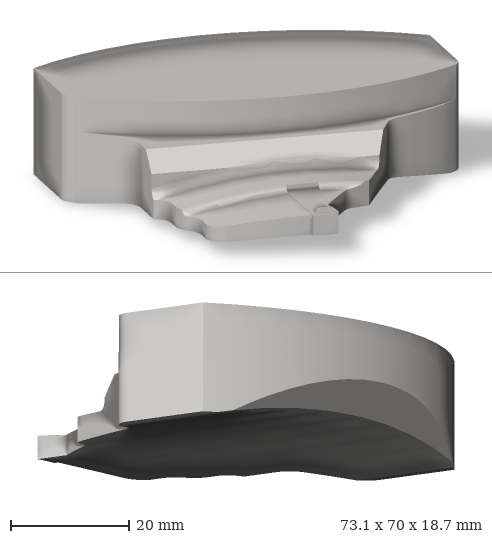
import cadquery as cq
import math


LENGTH = 73.1
HALF_WIDTH = 35.0
HEIGHT = 18.7
END_FACE_START = 11.2
END_FACE_END = 27.35
FRONT_BULGE_X = 40.35
BACK_CHAMFER_Z = 8.8
BULGE_RADIUS = (END_FACE_START**2 + HALF_WIDTH**2) / (2 * END_FACE_START)

ARCH_RISE = 3.6
ARCH_HALF_SPAN = 32.9
ARCH_RADIUS = (ARCH_HALF_SPAN**2 + ARCH_RISE**2) / (2 * ARCH_RISE)

SHELF_Z = 12.6
SLOPE_START = 43.9
WALL_X = 47.4
STEP_X = 57.1
LOWER_STEP_Z = 7.1
STEP_DROP = 1.1
LOWER_STEP_RADIUS = 95.0
UPPER_STEP_RADIUS = LOWER_STEP_RADIUS + STEP_DROP
STEP_AXIS_Z = LOWER_STEP_Z - LOWER_STEP_RADIUS
WALL_FILLET = 1.6
STEP_FILLET = 1.45

INSERT_LEFT_Y = 1.4
INSERT_RIGHT_Y = -4.3
TIP_LEFT_Y = 0.1
TIP_SHOULDER_X = 66.95
NARROWING_X = 65.1
TIP_SKEW = 0.2
RIDGE_START_X = 69.0
RIDGE_RIGHT_START_Y = -2.5
RIDGE_RIGHT_END_Y = -3.9
RIDGE_END_SETBACK = 0.6
RIDGE_START_Z = 7.3
RIDGE_END_Z = 7.6

MARGIN = 7.3


def holder_plan():
    """Closed outline of head and blade, seen from above."""
    return (
        cq.Workplane("XY")
        .moveTo(END_FACE_START, -HALF_WIDTH)
        .threePointArc((0, 0), (END_FACE_START, HALF_WIDTH))
        .lineTo(END_FACE_END, HALF_WIDTH)
        .threePointArc((28.95, 34.65), (30.2, 33.6))
        .threePointArc((33.8, 28.9), (36.3, 24.2))
        .lineTo(37.7, 21.3)
        .threePointArc((38.45, 20.0), (39.55, 19.1))
        .lineTo(56.7, 10.45)
        .lineTo(58.0, 7.25)
        .threePointArc((58.4, 6.3), (59.0, 5.6))
        .lineTo(NARROWING_X, INSERT_LEFT_Y)
        .lineTo(TIP_SHOULDER_X, TIP_LEFT_Y)
        .lineTo(72.4, TIP_LEFT_Y)
        .threePointArc((71.3, -9.5), (68.7, -18.3))
        .threePointArc((66.9, -20.25), (64.1, -20.8))
        .lineTo(62.0, -20.8)
        .threePointArc((60.1, -21.3), (58.3, -22.2))
        .threePointArc((56.9, -22.9), (55.1, -23.25))
        .lineTo(53.0, -23.25)
        .threePointArc((50.2, -23.8), (48.5, -25.15))
        .lineTo(41.15, -25.15)
        .threePointArc((38.7, -25.65), (36.7, -27.0))
        .lineTo(30.05, -33.3)
        .threePointArc((28.9, -34.4), (END_FACE_END, -HALF_WIDTH))
        .close()
    )


def underside_arch():
    """Cylinder along X that hollows the bottom."""
    return (
        cq.Workplane("YZ", origin=(-MARGIN, 0, 0))
        .center(0, ARCH_RISE - ARCH_RADIUS)
        .circle(ARCH_RADIUS)
        .extrude(LENGTH + 2 * MARGIN)
    )


def back_chamfer():
    """45 degree wedge below the rearmost edge of the head."""
    return (
        cq.Workplane("XZ")
        .polyline([
            (-MARGIN, BACK_CHAMFER_Z + MARGIN),
            (-MARGIN, -MARGIN),
            (BACK_CHAMFER_Z + MARGIN, -MARGIN),
        ])
        .close()
        .extrude(HALF_WIDTH + MARGIN, both=True)
    )


def shelf_slope():
    """45 degree ramp from the shelf down towards the blade."""
    ramp_run = LENGTH - SLOPE_START
    return (
        cq.Workplane("XZ")
        .polyline([
            (SLOPE_START, SHELF_Z),
            (LENGTH, SHELF_Z),
            (LENGTH, SHELF_Z - ramp_run),
        ])
        .close()
        .extrude(HALF_WIDTH, both=True)
        .intersect(
            cq.Workplane("XY")
            .box(WALL_X, 2 * HALF_WIDTH, HEIGHT, centered=(False, True, False))
        )
    )


def blade_steps():
    """Ring that leaves the two cylindrical steps of the blade below it."""
    upper_z = STEP_AXIS_Z + UPPER_STEP_RADIUS
    fillet_mid = WALL_FILLET * (1 - math.sqrt(0.5))
    step_fillet_end = STEP_X + STEP_FILLET
    return (
        cq.Workplane("XZ")
        .moveTo(WALL_X, HEIGHT)
        .lineTo(WALL_X, upper_z + WALL_FILLET)
        .threePointArc(
            (WALL_X + fillet_mid, upper_z + fillet_mid),
            (WALL_X + WALL_FILLET, upper_z),
        )
        .lineTo(STEP_X, upper_z)
        .radiusArc((step_fillet_end, LOWER_STEP_Z), -STEP_FILLET)
        .lineTo(LENGTH + MARGIN, LOWER_STEP_Z)
        .lineTo(LENGTH + MARGIN, HEIGHT)
        .close()
        .revolve(360, (0, STEP_AXIS_Z, 0), (1, STEP_AXIS_Z, 0))
    )


def insert_pocket():
    """Slot through the blade, open at the tip."""
    return (
        cq.Workplane("XY")
        .moveTo(STEP_X, INSERT_RIGHT_Y)
        .lineTo(LENGTH + MARGIN, INSERT_RIGHT_Y)
        .lineTo(LENGTH + MARGIN, INSERT_LEFT_Y)
        .lineTo(STEP_X, INSERT_LEFT_Y)
        .close()
        .extrude(HEIGHT)
    )


def make_holder():
    raised_head = holder_plan().extrude(HEIGHT).intersect(
        cq.Workplane("XY")
        .center(FRONT_BULGE_X - BULGE_RADIUS, 0)
        .circle(BULGE_RADIUS)
        .extrude(HEIGHT)
    )
    blade = (
        holder_plan().extrude(SHELF_Z)
        .cut(shelf_slope())
        .cut(blade_steps())
        .cut(insert_pocket())
    )
    return raised_head.union(blade).cut(underside_arch()).cut(back_chamfer())


def chip_breaker():
    """Ridge on the insert, rising towards the cutting edge."""
    plan = (
        cq.Workplane("XY")
        .polyline([
            (RIDGE_START_X, TIP_LEFT_Y),
            (RIDGE_START_X, RIDGE_RIGHT_START_Y),
            (LENGTH - RIDGE_END_SETBACK, RIDGE_RIGHT_END_Y),
            (LENGTH, TIP_LEFT_Y),
        ])
        .close()
        .extrude(HEIGHT)
    )
    ramp = (
        cq.Workplane("XZ")
        .polyline([
            (RIDGE_START_X, ARCH_RISE),
            (LENGTH, ARCH_RISE),
            (LENGTH, RIDGE_END_Z),
            (RIDGE_START_X, RIDGE_START_Z),
        ])
        .close()
        .extrude(HALF_WIDTH, both=True)
    )
    return plan.intersect(ramp)


def make_insert():
    bar = (
        cq.Workplane("XY")
        .polyline([
            (STEP_X, INSERT_RIGHT_Y),
            (LENGTH - TIP_SKEW, INSERT_RIGHT_Y),
            (LENGTH, TIP_LEFT_Y),
            (TIP_SHOULDER_X, TIP_LEFT_Y),
            (NARROWING_X, INSERT_LEFT_Y),
            (STEP_X, INSERT_LEFT_Y),
        ])
        .close()
        .extrude(LOWER_STEP_Z)
    )
    return bar.union(chip_breaker()).cut(underside_arch())


holder = make_holder()
insert = make_insert()

result = cq.Compound.makeCompound([holder.val(), insert.val()])